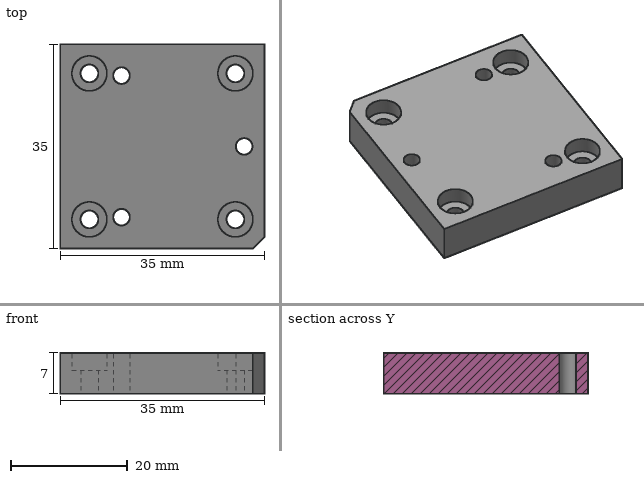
import cadquery as cq
import math

side = 35.0
thickness = 7.0
corner_chamfer = 2.0

screw_spacing = 25.0
screw_diameter = 3.0
counterbore_diameter = 6.0
counterbore_depth = 3.0

ring_hole_count = 3
ring_hole_diameter = 2.8
ring_radius = 14.0


def make_plate():
    """Square plate resting on Z = 0, with one vertical corner edge chamfered."""
    plate = cq.Workplane("XY").box(side, side, thickness, centered=(True, True, False))
    return plate.edges("|Z").edges(">X").edges("<Y").chamfer(corner_chamfer)


def cut_screw_holes(plate):
    """Counterbored through holes, one near each corner, sunk from the top."""
    return (
        plate.faces(">Z")
        .workplane(origin=(0, 0, thickness))
        .rarray(screw_spacing, screw_spacing, 2, 2)
        .cboreHole(screw_diameter, counterbore_diameter, counterbore_depth)
    )


def cut_ring_holes(plate):
    """Through holes on the ring, the first one on the +X axis."""
    step = 2 * math.pi / ring_hole_count
    centres = [
        (ring_radius * math.cos(i * step), ring_radius * math.sin(i * step))
        for i in range(ring_hole_count)
    ]
    return (
        plate.faces(">Z")
        .workplane(origin=(0, 0, thickness))
        .pushPoints(centres)
        .hole(ring_hole_diameter)
    )


result = cut_ring_holes(cut_screw_holes(make_plate()))